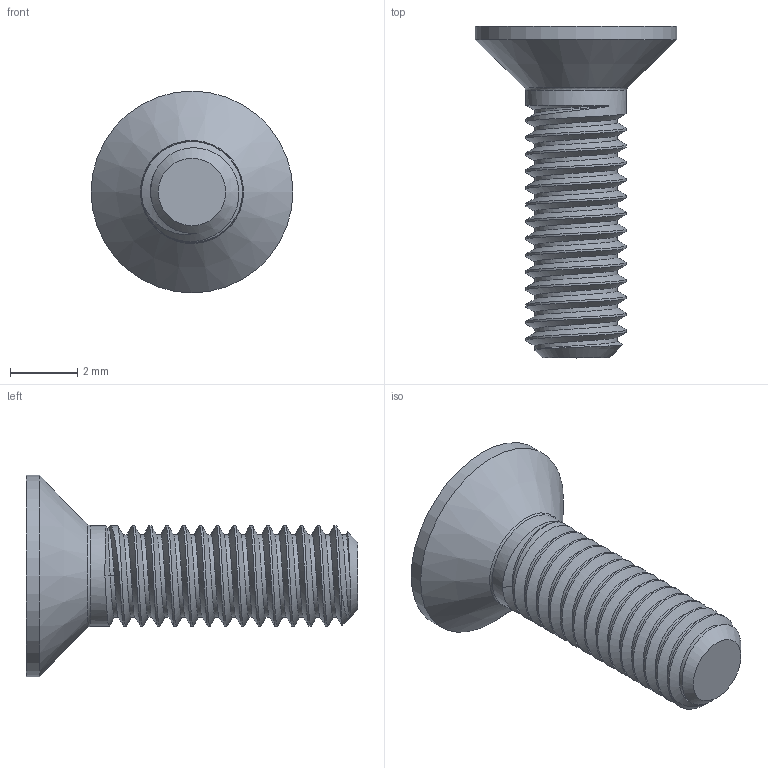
import math

import cadquery as cq

head_radius = 3.0
head_rim_height = 0.4
shank_radius = 1.5
neck_fillet_radius = 0.1

shank_length = 8.0
head_height = 1.86
total_length = head_height + shank_length
tip_chamfer = 0.5

pitch = 0.5
crest_flat = pitch / 8
root_flat = pitch / 4
flank_slope = math.tan(math.radians(30))
thread_depth = (pitch - crest_flat - root_flat) / 2 / flank_slope
root_radius = shank_radius - thread_depth

cutter_clearance = 0.04
cutter_radius = shank_radius + cutter_clearance
root_half_width = root_flat / 2
mouth_half_width = root_half_width + (cutter_radius - root_radius) * flank_slope

groove_end_depth = 2.56
tip_overrun = 0.6
groove_turns = math.ceil((total_length + tip_overrun - groove_end_depth) / pitch)

runout_visible_angle = math.radians(128)
runout_angle = runout_visible_angle * (cutter_radius - root_radius) / thread_depth
runout_end_scale = 0.02
runout_steps = 12


groove_section = [
    (cutter_radius, -mouth_half_width),
    (root_radius, -root_half_width),
    (root_radius, root_half_width),
    (cutter_radius, mouth_half_width),
]


def groove_cutter():
    """Full-depth groove: the section swept along a right-hand helix up to its end on the -X side."""
    helix_height = groove_turns * pitch
    helix_bottom = -groove_end_depth - helix_height
    helix = cq.Wire.makeHelix(pitch, helix_height, cutter_radius)
    corners = [cq.Vector(radius, 0, offset) for radius, offset in groove_section]
    section = cq.Wire.makePolygon(corners, close=True)
    cutter = cq.Solid.sweep(section, [], helix, makeSolid=True, isFrenet=True)
    cutter = cutter.rotate(cq.Vector(0, 0, 0), cq.Vector(0, 0, 1), 180)
    return cutter.translate(cq.Vector(0, 0, helix_bottom))


def runout_corner(share, radius, offset):
    """Groove corner at a share of the runout, from 0 (full section) to 1 (almost nothing)."""
    size = 1 - (1 - runout_end_scale) * share
    angle = math.pi + share * runout_angle
    corner_radius = cutter_radius - (cutter_radius - radius) * size
    centre_height = -groove_end_depth + pitch * share * runout_angle / (2 * math.pi)
    return cq.Vector(
        corner_radius * math.cos(angle),
        corner_radius * math.sin(angle),
        centre_height + offset * size,
    )


def runout_cutter():
    """Shrinking end of the groove: four ruled faces between its corner curves and two flat ends."""
    edges = []
    for radius, offset in groove_section:
        points = [runout_corner(i / runout_steps, radius, offset) for i in range(runout_steps + 1)]
        edges.append(cq.Edge.makeSpline(points))
    faces = []
    for i, edge in enumerate(edges):
        faces.append(cq.Face.makeRuledSurface(edges[i - 1], edge))
    for share in (0, 1):
        corners = [runout_corner(share, radius, offset) for radius, offset in groove_section]
        faces.append(cq.Face.makeFromWires(cq.Wire.makePolygon(corners, close=True)))
    return cq.Solid.makeSolid(cq.Shell.makeShell(faces)).fix()


def screw_blank():
    """Unthreaded screw along Z: head face at Z = 0, tip pointing down."""
    profile = (
        cq.Workplane("XZ")
        .lineTo(head_radius, 0)
        .lineTo(head_radius, -head_rim_height)
        .lineTo(shank_radius, -head_height)
        .lineTo(shank_radius, tip_chamfer - total_length)
        .lineTo(shank_radius - tip_chamfer, -total_length)
        .lineTo(0, -total_length)
        .close()
    )
    blank = profile.revolve(360, (0, 0, 0), (0, 1, 0))
    neck_edge = cq.selectors.BoxSelector(
        (-head_radius, -head_radius, -head_height - neck_fillet_radius),
        (head_radius, head_radius, -head_height + neck_fillet_radius),
        boundingbox=False,
    )
    neck = blank.edges("%CIRCLE").edges(neck_edge)
    return neck.fillet(neck_fillet_radius)


def threaded_screw():
    """Screw blank with the full-depth groove and its runout removed."""
    screw = screw_blank()
    screw = screw.cut(cq.Workplane(obj=groove_cutter()))
    return screw.cut(cq.Workplane(obj=runout_cutter()))


result = threaded_screw().rotate((0, 0, 0), (1, 0, 0), -90)